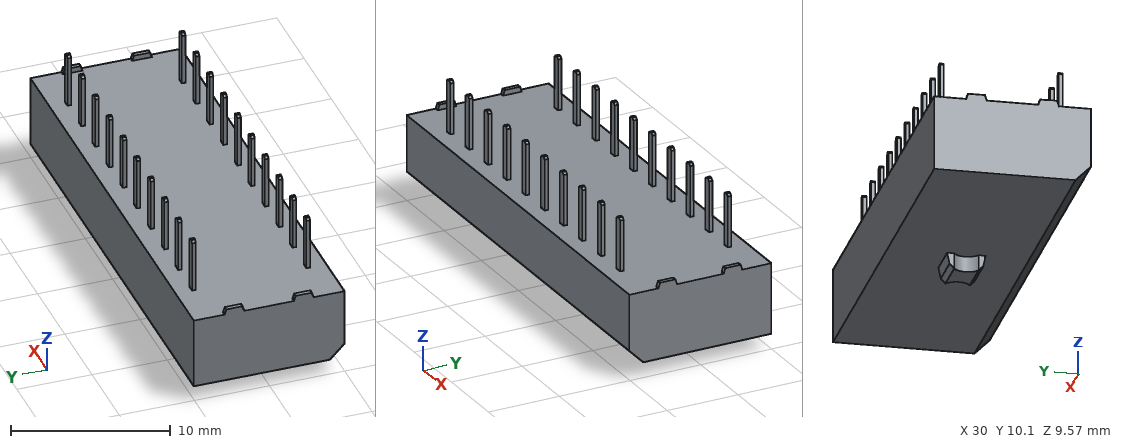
import cadquery as cq
import math

body_length = 29.97
body_width = 10.05
body_height = 4.9
bevel = 1.0

pins_per_row = 10
row_spacing = 7.6
pin_pitch = row_spacing / 3
pin_width = 0.5
pin_thickness = 0.25
pin_length = 3.65
pin_tip_chamfer = 0.15

standoff_spacing = 4.62
standoff_base_width = 1.32
standoff_top_width = 1.08
standoff_height = 0.35
standoff_depth = 0.3

button_length = 2.6
button_base_width = 2.45
button_tip_width = 1.55
button_height = 1.02
button_chamfer = 0.3
hollow_radius = 0.93


def make_body():
    block = cq.Workplane("XY").box(body_length, body_width, body_height, centered=(True, True, False))
    return block.faces("<Y").edges("<Z").chamfer(bevel)


def make_pin(x, y):
    pin = cq.Workplane("XY").box(pin_width, pin_thickness, pin_length, centered=(True, True, False))
    pin = pin.faces(">Z").edges("|Y").chamfer(pin_tip_chamfer)
    return pin.translate((x, y, body_height))


def make_standoff(x, y):
    profile = [
        (-standoff_base_width / 2, 0),
        (standoff_base_width / 2, 0),
        (standoff_top_width / 2, standoff_height),
        (-standoff_top_width / 2, standoff_height),
    ]
    standoff = cq.Workplane("YZ").polyline(profile).close().extrude(standoff_depth / 2, both=True)
    return standoff.translate((x, y, body_height))


def make_button():
    base_y = button_base_width / 2
    tip_y = button_tip_width / 2
    shoulder_y = tip_y + button_chamfer
    shoulder_z = button_chamfer - button_height
    profile = [
        (-base_y, 0),
        (-shoulder_y, shoulder_z),
        (-tip_y, -button_height),
        (tip_y, -button_height),
        (shoulder_y, shoulder_z),
        (base_y, 0),
    ]
    button = cq.Workplane("YZ").polyline(profile).close().extrude(button_length / 2, both=True)
    centre_x = button_length / 2 + math.sqrt(hollow_radius**2 - tip_y**2)
    hollows = cq.Workplane("XY").pushPoints([(-centre_x, 0), (centre_x, 0)]).circle(hollow_radius)
    return button.cut(hollows.extrude(-button_height))


result = make_body().union(make_button())

for column in range(pins_per_row):
    pin_x = (column - (pins_per_row - 1) / 2) * pin_pitch
    for side in (-1, 1):
        result = result.union(make_pin(pin_x, side * row_spacing / 2))

standoff_x = (body_length - standoff_depth) / 2
for end in (-1, 1):
    for side in (-1, 1):
        result = result.union(make_standoff(end * standoff_x, side * standoff_spacing / 2))